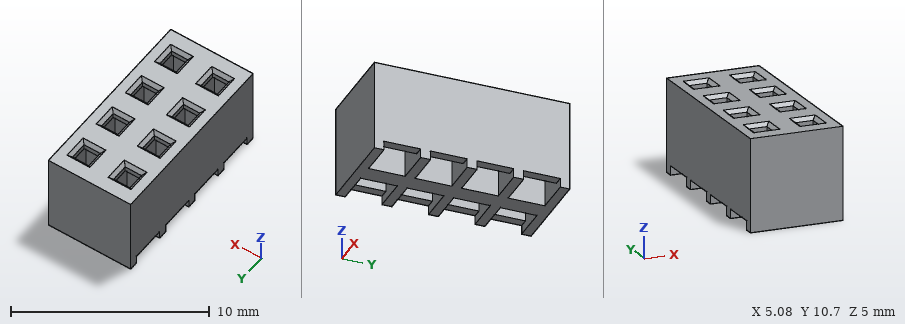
import cadquery as cq

pitch = 2.54
columns = 2
rows = 4
end_margin = 0.25
length_x = columns * pitch
length_y = rows * pitch + 2 * end_margin
height = 5.0

throat_width = 1.0
lead_in = 0.2
top_plate = 0.5

cavity_x = 1.5
cavity_y = 2.0
cavity_height = height - top_plate

notch_height = 0.5


def pin_entry(x, y):
    """Straight square throat with a tapered lead-in at the top."""
    throat = (
        cq.Workplane("XY", origin=(x, y, cavity_height))
        .rect(throat_width, throat_width)
        .extrude(top_plate)
    )
    mouth_width = throat_width + 2 * lead_in
    funnel = (
        cq.Workplane("XY", origin=(x, y, height - lead_in))
        .rect(throat_width, throat_width)
        .workplane(offset=lead_in)
        .rect(mouth_width, mouth_width)
        .loft(ruled=True)
    )
    return throat.union(funnel)


def contact_cavity(x, y):
    """Rectangular chamber from the base up to the top plate."""
    return (
        cq.Workplane("XY", origin=(x, y, 0))
        .rect(cavity_x, cavity_y)
        .extrude(cavity_height)
    )


def foot_notch(x, y):
    """Opening from the cavity centre out through the nearer long side wall."""
    outer_face_x = length_x / 2 if x > 0 else -length_x / 2
    notch_length = abs(outer_face_x - x)
    return (
        cq.Workplane("XY", origin=((x + outer_face_x) / 2, y, 0))
        .rect(notch_length, cavity_y)
        .extrude(notch_height)
    )


result = cq.Workplane("XY").box(length_x, length_y, height, centered=(True, True, False))

for column in range(columns):
    contact_x = (column - (columns - 1) / 2) * pitch
    for row in range(rows):
        contact_y = (row - (rows - 1) / 2) * pitch
        result = result.cut(contact_cavity(contact_x, contact_y))
        result = result.cut(pin_entry(contact_x, contact_y))
        result = result.cut(foot_notch(contact_x, contact_y))